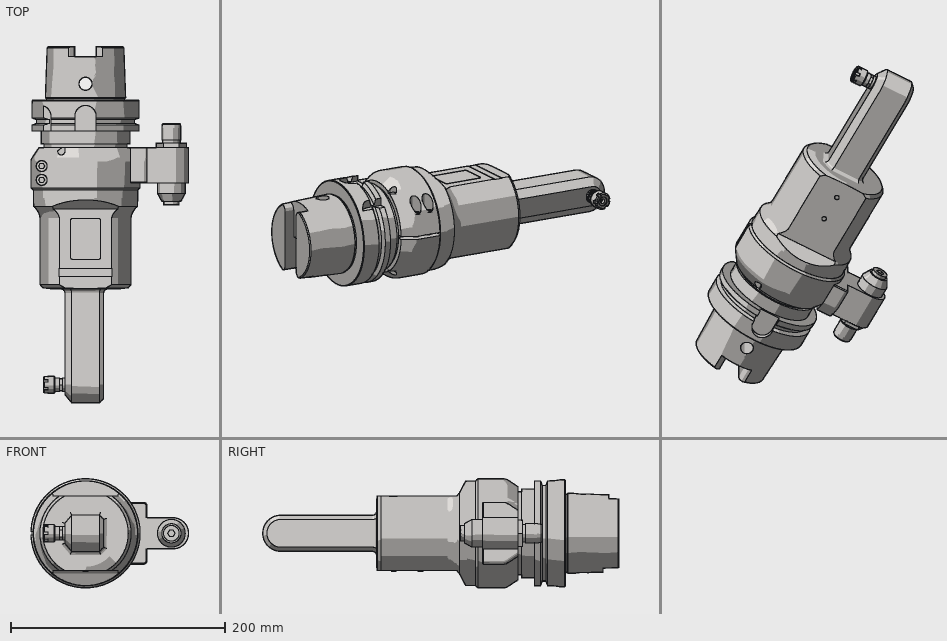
import cadquery as cq
import math


REAR_Y = 50.0
TAPER_REAR_R = 36.0
TAPER_FRONT_R = 37.5
TAPER_FRONT_Y = 2.3
RELIEF_R = 36.5
RELIEF_W = 1.3
REAR_CHAMFER = 1.0
FLANGE_R = 50.02
FLANGE_CHAMFER = 0.5
FLANGE_FRONT_Y = -29.0
GRIP_GROOVE_Y = -20.0
GRIP_GROOVE_MOUTH = 6.5
GRIP_GROOVE_FLOOR = 3.3
GRIP_GROOVE_R = 46.0

CROSS_HOLE_D = 12.0
CROSS_HOLE_Y = 15.3
DRIVE_SLOT_W = 20.0
DRIVE_SLOT_ROUND = 6.0
UPPER_SLOT_DEPTH = 9.3
LOWER_SLOT_DEPTH = 14.5

KEYWAY_W = 20.0
KEYWAY_CENTRE_Y = -15.0
KEYWAY_FLOOR_Z = 44.0
NOTCH_INNER_X = -32.2
NOTCH_FLOOR_Z = 31.2

NECK_R = 41.5
NECK_FRONT_Y = -41.0
SHOULDER_R = 39.0
JOURNAL_R = 37.0
COLLAR_R = 49.0
COLLAR_REAR_Y = -83.8
COLLAR_TAPER_Y = -91.5
COLLAR_FRONT_R = 48.5
COLLAR_FRONT_Y = -99.0
COLLAR_BEVEL_R = 46.5
COLLAR_BEVEL_Y = -101.0
BARREL_R = 42.5
BARREL_REAR_Y = -110.0
BARREL_SWEEP_RISE = 1.15
BARREL_BEVEL_Y = -172.2
END_RIM_R = 40.0
END_RIM_Y = -175.2
END_FACE_R = 31.2
END_FACE_Y = -176.2

FLAT_Z = 35.0
FLAT_START_Y = -101.5
FLAT_WALL_FOOT = (-99.0, 37.5)
FLAT_WALL_TOP = (-93.0, COLLAR_R)
LABEL_W = 28.3
LABEL_L = 38.2
LABEL_REAR_Y = -110.5
LABEL_CORNER_R = 2.0
MARK_DEPTH = 0.3
BAND_REAR_Y = -157.0
BAND_FRONT_Y = -164.5
STUD_D = 4.3
STUD_H = 0.5
STUD_YS = (-135.3, -160.2)

TIP_Y = -282.5
ARM_LEFT_X = -19.3
ARM_RIGHT_X = 17.0
ARM_HALF_Z = 17.0
ARM_LEFT_BEVEL_X = 6.3
ARM_LEFT_BEVEL_Z = 7.5
ARM_RIGHT_BEVEL = 4.0
ARM_ROOT_FILLET = 4.0
SPINDLE_Y = TIP_Y + ARM_HALF_Z

SPINDLE_D = 13.0
NUT_D = 16.0
NUT_TIP_X = -39.2
NUT_BACK_X = -28.3
NUT_CHAMFER = 1.0
HEX_TIP_X = -24.3
HEX_BACK_X = -21.5
NUT_SLOTS = 6
NUT_SLOT_W = 2.5
NUT_SLOT_L = 4.0
NUT_SLOT_DEPTH = 1.5
NUT_RECESS_D = 8.5
NUT_RECESS_DEPTH = 1.0
COLLET_HOLE_D = 4.3
COLLET_HOLE_DEPTH = 5.0

RING_R = 51.02
RING_REAR_R = 43.5
RING_REAR_Y = -44.2
RING_CONE_Y = -55.5
RING_FRONT_Y = COLLAR_REAR_Y
RING_BEVEL = 2.0
RING_CONE_FILLET = 7.0
SPLIT_W = 3.0
BLOCK_INNER_X = 42.0
BLOCK_X = 57.5
BLOCK_HALF_Z = 29.0
BLOCK_ROUND = 3.3
BLOCK_BEVEL = 1.0
BRACKET_FRONT_Y = -77.5
BRACKET_HALF_Z = 14.5
BRACKET_END_X = 96.23
PIN_X = 80.0
PIN_HOLE_D = 18.0
NICK_X = -22.5
NICK_W = 6.5
NICK_END_Y = -51.2
NICK_FLOOR_Z = 37.5

SCREW_X = -41.0
SCREW_YS = (-61.5, -74.5)
SCREW_D = 6.0
SCREW_HEAD_D = 10.0
COUNTERBORE_D = 10.3
SCREW_HEAD_TOP_Z = 21.0
SCREW_SEAT_Z = 15.0
SCREW_TIP_Z = -20.0
SOCKET_FLATS = 5.0
SOCKET_DEPTH = 3.0

PIN_D = PIN_HOLE_D
PIN_REAR_Y = -21.5
PIN_CHAMFER = 1.0
PIN_LEAD_D = 17.3
PIN_LEAD_Y = -26.3
PIN_NECK_D = 16.5
PIN_NECK_Y = -37.2
PIN_HEX_D = 28.5
PIN_HEX_H = 4.0
PIN_CUP_D = 26.0
PIN_CUP_Y = -87.0
PIN_CONE_D = 18.0
PIN_CONE_Y = -94.5
PIN_NOSE_D = 14.5
PIN_NOSE_Y = -97.7
PIN_SOCKET_FLATS = 6.0
PIN_SOCKET_DEPTH = 2.0

FAR = 66.5
PICK_MARGIN = 0.3


def turned(points):
    """Solid of revolution about the Y axis from (radius, y) points."""
    return cq.Workplane("XY").polyline(points).close().revolve(360, (0, 0), (0, 1))


def box(x_range, y_range, z_range):
    """Box between two limits on each axis."""
    (x0, x1), (y0, y1), (z0, z1) = x_range, y_range, z_range
    return cq.Workplane("XY").box(x1 - x0, y1 - y0, z1 - z0, centered=False).translate((x0, y0, z0))


def across_corners(across_flats):
    return across_flats / math.cos(math.radians(30))


def cylinder_z(x, y, diameter, z0, z1):
    return cq.Workplane("XY", origin=(x, y, z0)).circle(diameter / 2).extrude(z1 - z0)


def cylinder_x(diameter, x0, x1):
    """Cylinder on the tool spindle axis."""
    return cq.Workplane("YZ", origin=(x0, SPINDLE_Y, 0)).circle(diameter / 2).extrude(x1 - x0)


def mirrored_z(shape):
    return shape.mirror("XY")


def head_core():
    """Taper, flange, neck, journal, collar and barrel as one turned shape."""
    mouth = GRIP_GROOVE_MOUTH / 2
    floor = GRIP_GROOVE_FLOOR / 2
    sweep_mid = (BARREL_R + BARREL_SWEEP_RISE, (COLLAR_BEVEL_Y + BARREL_REAR_Y) / 2)
    profile = (
        cq.Workplane("XY")
        .moveTo(0, REAR_Y)
        .lineTo(TAPER_REAR_R - REAR_CHAMFER, REAR_Y)
        .lineTo(TAPER_REAR_R, REAR_Y - REAR_CHAMFER)
        .lineTo(TAPER_FRONT_R, TAPER_FRONT_Y)
        .lineTo(RELIEF_R, RELIEF_W)
        .lineTo(RELIEF_R, 0)
        .lineTo(FLANGE_R - FLANGE_CHAMFER, 0)
        .lineTo(FLANGE_R, -FLANGE_CHAMFER)
        .lineTo(FLANGE_R, GRIP_GROOVE_Y + mouth)
        .lineTo(GRIP_GROOVE_R, GRIP_GROOVE_Y + floor)
        .lineTo(GRIP_GROOVE_R, GRIP_GROOVE_Y - floor)
        .lineTo(FLANGE_R, GRIP_GROOVE_Y - mouth)
        .lineTo(FLANGE_R, FLANGE_FRONT_Y)
        .lineTo(NECK_R, FLANGE_FRONT_Y)
        .lineTo(NECK_R, NECK_FRONT_Y)
        .lineTo(SHOULDER_R, NECK_FRONT_Y)
        .lineTo(SHOULDER_R, RING_REAR_Y)
        .lineTo(JOURNAL_R, RING_REAR_Y)
        .lineTo(JOURNAL_R, COLLAR_REAR_Y)
        .lineTo(COLLAR_R, COLLAR_REAR_Y)
        .lineTo(COLLAR_R, COLLAR_TAPER_Y)
        .lineTo(COLLAR_FRONT_R, COLLAR_FRONT_Y)
        .lineTo(COLLAR_BEVEL_R, COLLAR_BEVEL_Y)
        .threePointArc(sweep_mid, (BARREL_R, BARREL_REAR_Y))
        .lineTo(BARREL_R, BARREL_BEVEL_Y)
        .lineTo(END_RIM_R, END_RIM_Y)
        .lineTo(END_FACE_R, END_FACE_Y)
        .lineTo(0, END_FACE_Y)
        .close()
    )
    return profile.revolve(360, (0, 0), (0, 1))


def drive_slot(depth):
    """Cutter for the upper drive slot, with rounded outer edges of its tabs."""
    half = DRIVE_SLOT_W / 2
    edge_x = half + DRIVE_SLOT_ROUND
    edge_z = math.sqrt(TAPER_REAR_R**2 - edge_x**2)
    low_z = edge_z - DRIVE_SLOT_ROUND
    bend = DRIVE_SLOT_ROUND * (1 - math.sqrt(0.5))
    return (
        cq.Workplane("XZ", origin=(0, REAR_Y, 0))
        .moveTo(-half, 0)
        .lineTo(half, 0)
        .lineTo(half, low_z)
        .threePointArc((half + bend, edge_z - bend), (edge_x, edge_z))
        .lineTo(edge_x, TAPER_FRONT_R)
        .lineTo(-edge_x, TAPER_FRONT_R)
        .lineTo(-edge_x, edge_z)
        .threePointArc((-half - bend, edge_z - bend), (-half, low_z))
        .close()
        .extrude(depth)
    )


def round_end_slot(x, floor_z):
    """Upright end-mill cut, round at its rear, open at the flange front face."""
    half = KEYWAY_W / 2
    round_end = cylinder_z(x, KEYWAY_CENTRE_Y, KEYWAY_W, floor_z, FAR)
    straight = box((x - half, x + half), (FLANGE_FRONT_Y, KEYWAY_CENTRE_Y), (floor_z, FAR))
    return round_end.union(straight)


def flat_cut():
    """Cutter for the upper flat of the barrel and the sloping wall behind it."""
    return (
        cq.Workplane("YZ", origin=(-FAR, 0, 0))
        .polyline([
            (END_FACE_Y, FLAT_Z),
            (FLAT_START_Y, FLAT_Z),
            FLAT_WALL_FOOT,
            FLAT_WALL_TOP,
            (FLAT_WALL_TOP[0], FAR),
            (END_FACE_Y, FAR),
        ])
        .close()
        .extrude(2 * FAR)
    )


def flat_markings():
    """Shallow label field and cross band cut into the upper flat."""
    floor_z = FLAT_Z - MARK_DEPTH
    label = (
        cq.Workplane("XY", origin=(0, LABEL_REAR_Y - LABEL_L / 2, floor_z))
        .rect(LABEL_W, LABEL_L)
        .extrude(MARK_DEPTH)
        .edges("|Z")
        .fillet(LABEL_CORNER_R)
    )
    band = box((-FAR, FAR), (BAND_FRONT_Y, BAND_REAR_Y), (floor_z, FLAT_Z))
    return label.union(band)


def arm_half_outline(origin_y):
    """Upper half of the arm section, from the -X side over the top to the +X side."""
    return (
        cq.Workplane("XZ", origin=(0, origin_y, 0))
        .moveTo(ARM_LEFT_X, 0)
        .lineTo(ARM_LEFT_X, ARM_HALF_Z - ARM_LEFT_BEVEL_Z)
        .lineTo(ARM_LEFT_X + ARM_LEFT_BEVEL_X, ARM_HALF_Z)
        .lineTo(ARM_RIGHT_X - ARM_RIGHT_BEVEL, ARM_HALF_Z)
        .lineTo(ARM_RIGHT_X, ARM_HALF_Z - ARM_RIGHT_BEVEL)
        .lineTo(ARM_RIGHT_X, 0)
        .close()
    )


def arm():
    """Bar with beveled edges, the wider bevels at -X, and a half-round tip."""
    upper_half = arm_half_outline(END_FACE_Y).extrude(END_FACE_Y - SPINDLE_Y)
    bar = upper_half.union(mirrored_z(upper_half)).clean()
    tip = arm_half_outline(SPINDLE_Y).revolve(360, (0, 0), (1, 0))
    return bar.union(tip)


def arm_root_edges(head):
    """Edges where the arm leaves the end face of the barrel."""
    corner = (ARM_LEFT_X - PICK_MARGIN, END_FACE_Y - PICK_MARGIN, -ARM_HALF_Z - PICK_MARGIN)
    opposite = (ARM_RIGHT_X + PICK_MARGIN, END_FACE_Y + PICK_MARGIN, ARM_HALF_Z + PICK_MARGIN)
    return head.edges(cq.selectors.BoxSelector(corner, opposite))


def tool_spindle():
    """Collet nut, neck and wrench hexagon on the side of the arm tip."""
    nut = cylinder_x(NUT_D, NUT_TIP_X, NUT_BACK_X).faces("<X or >X").chamfer(NUT_CHAMFER)
    neck = cylinder_x(SPINDLE_D, NUT_BACK_X, HEX_TIP_X)
    hexagon = (
        cq.Workplane("YZ", origin=(HEX_TIP_X, SPINDLE_Y, 0))
        .transformed(rotate=(0, 0, 90))
        .polygon(6, SPINDLE_D)
        .extrude(HEX_BACK_X - HEX_TIP_X)
    )
    base = cylinder_x(SPINDLE_D, HEX_BACK_X, 0)

    slot_floor = NUT_D / 2 - NUT_SLOT_DEPTH
    slot = box(
        (NUT_TIP_X, NUT_TIP_X + NUT_SLOT_L),
        (SPINDLE_Y + slot_floor, SPINDLE_Y + NUT_D),
        (-NUT_SLOT_W / 2, NUT_SLOT_W / 2),
    )
    for i in range(NUT_SLOTS):
        angle = i * 360 / NUT_SLOTS
        nut = nut.cut(slot.rotate((0, SPINDLE_Y, 0), (1, SPINDLE_Y, 0), angle))
    nut = nut.cut(cylinder_x(NUT_RECESS_D, NUT_TIP_X, NUT_TIP_X + NUT_RECESS_DEPTH))
    nut = nut.cut(cylinder_x(COLLET_HOLE_D, NUT_TIP_X, NUT_TIP_X + COLLET_HOLE_DEPTH))
    return nut.union(neck).union(hexagon).union(base)


def make_head():
    head = head_core()
    head = head.cut(cylinder_z(0, CROSS_HOLE_Y, CROSS_HOLE_D, -FAR, FAR))
    head = head.cut(drive_slot(UPPER_SLOT_DEPTH))
    head = head.cut(mirrored_z(drive_slot(LOWER_SLOT_DEPTH)))

    keyway = round_end_slot(0, KEYWAY_FLOOR_Z)
    head = head.cut(keyway).cut(mirrored_z(keyway))
    head = head.cut(round_end_slot(NOTCH_INNER_X - KEYWAY_W / 2, NOTCH_FLOOR_Z))

    head = head.cut(flat_cut()).cut(mirrored_z(flat_cut()))
    head = head.cut(flat_markings())
    for y in STUD_YS:
        head = head.union(cylinder_z(0, y, STUD_D, -FLAT_Z - STUD_H, 0))

    head = arm_root_edges(head.union(arm())).fillet(ARM_ROOT_FILLET)
    return head.union(tool_spindle())


def cone_edges():
    """Selector for the edges at the front end of the cone."""
    corner = (-FAR, RING_CONE_Y - PICK_MARGIN, -FAR)
    opposite = (FAR, RING_CONE_Y + PICK_MARGIN, FAR)
    return cq.selectors.BoxSelector(corner, opposite)


def ring_blank():
    """Turned ring with a conical rear, solid across its bore."""
    blank = turned([
        (0, RING_REAR_Y),
        (RING_REAR_R, RING_REAR_Y),
        (RING_R, RING_CONE_Y),
        (RING_R, RING_FRONT_Y + RING_BEVEL),
        (RING_R - RING_BEVEL, RING_FRONT_Y),
        (0, RING_FRONT_Y),
    ])
    return blank.edges(cone_edges()).fillet(RING_CONE_FILLET)


def bracket_block():
    """Block on the +X side whose rear slopes like the cone of the ring."""
    rear_half_z = BLOCK_HALF_Z - (RING_R - RING_REAR_R)
    slope_ends = [
        (BRACKET_FRONT_Y, BLOCK_HALF_Z),
        (RING_CONE_Y, BLOCK_HALF_Z),
        (RING_REAR_Y, rear_half_z),
        (RING_REAR_Y, -rear_half_z),
        (RING_CONE_Y, -BLOCK_HALF_Z),
        (BRACKET_FRONT_Y, -BLOCK_HALF_Z),
    ]
    block = (
        cq.Workplane("YZ", origin=(BLOCK_INNER_X, 0, 0))
        .polyline(slope_ends)
        .close()
        .extrude(BLOCK_X - BLOCK_INNER_X)
    )
    block = block.edges(cone_edges()).fillet(RING_CONE_FILLET)
    block = block.faces("<Z or >Z").edges(">X").fillet(BLOCK_ROUND)
    return block.faces("<Y").edges("not <X").chamfer(BLOCK_BEVEL)


def bracket():
    """Block on the +X side of the ring and the round-ended arm that holds the pin."""
    thickness = RING_REAR_Y - BRACKET_FRONT_Y
    round_x = BRACKET_END_X - BRACKET_HALF_Z
    lug = (
        cq.Workplane("XZ", origin=(0, RING_REAR_Y, 0))
        .moveTo(0, -BRACKET_HALF_Z)
        .lineTo(round_x, -BRACKET_HALF_Z)
        .threePointArc((BRACKET_END_X, 0), (round_x, BRACKET_HALF_Z))
        .lineTo(0, BRACKET_HALF_Z)
        .close()
        .extrude(thickness)
    )
    pin_hole = cq.Workplane("XZ", origin=(PIN_X, RING_REAR_Y, 0)).circle(PIN_HOLE_D / 2).extrude(thickness)
    return bracket_block().union(lug).cut(pin_hole)


def nick():
    """Small round-ended nick in the cone of the ring."""
    half = NICK_W / 2
    end_y = NICK_END_Y + half
    straight = box((NICK_X - half, NICK_X + half), (end_y, RING_REAR_Y), (NICK_FLOOR_Z, FAR))
    return straight.union(cylinder_z(NICK_X, end_y, NICK_W, NICK_FLOOR_Z, FAR))


def screw_hole(y):
    counterbore = cylinder_z(SCREW_X, y, COUNTERBORE_D, SCREW_SEAT_Z, FAR)
    return counterbore.union(cylinder_z(SCREW_X, y, SCREW_D, SCREW_TIP_Z, SCREW_SEAT_Z))


def make_ring():
    ring = ring_blank().union(bracket())
    bore = [(0, RING_REAR_Y), (JOURNAL_R, RING_REAR_Y), (JOURNAL_R, RING_FRONT_Y), (0, RING_FRONT_Y)]
    ring = ring.cut(turned(bore))
    split = box((-FAR, 0), (RING_FRONT_Y, RING_REAR_Y), (-SPLIT_W / 2, SPLIT_W / 2))
    ring = ring.cut(split)
    for y in SCREW_YS:
        ring = ring.cut(screw_hole(y))
    return ring.cut(nick()).cut(mirrored_z(nick()))


def make_screw(y):
    """Socket head cap screw that closes the split of the ring."""
    head = cylinder_z(SCREW_X, y, SCREW_HEAD_D, SCREW_SEAT_Z, SCREW_HEAD_TOP_Z)
    shank = cylinder_z(SCREW_X, y, SCREW_D, SCREW_TIP_Z, SCREW_SEAT_Z)
    socket = (
        cq.Workplane("XY", origin=(SCREW_X, y, SCREW_HEAD_TOP_Z - SOCKET_DEPTH))
        .polygon(6, across_corners(SOCKET_FLATS))
        .extrude(SOCKET_DEPTH)
    )
    return head.union(shank).cut(socket)


def make_pin():
    """Pin with a hexagon behind the bracket and a conical cup in front of it."""
    body = turned([
        (0, PIN_REAR_Y),
        (PIN_LEAD_D / 2 - PIN_CHAMFER, PIN_REAR_Y),
        (PIN_LEAD_D / 2, PIN_REAR_Y - PIN_CHAMFER),
        (PIN_D / 2, PIN_LEAD_Y),
        (PIN_D / 2, PIN_NECK_Y),
        (PIN_NECK_D / 2, PIN_NECK_Y),
        (PIN_NECK_D / 2, RING_REAR_Y),
        (PIN_D / 2, RING_REAR_Y),
        (PIN_D / 2, BRACKET_FRONT_Y),
        (PIN_CUP_D / 2, BRACKET_FRONT_Y),
        (PIN_CUP_D / 2, PIN_CUP_Y),
        (PIN_CONE_D / 2, PIN_CONE_Y),
        (PIN_NOSE_D / 2, PIN_CONE_Y),
        (PIN_NOSE_D / 2, PIN_NOSE_Y),
        (0, PIN_NOSE_Y),
    ])
    hexagon = cq.Workplane("XZ", origin=(0, RING_REAR_Y + PIN_HEX_H, 0)).polygon(6, PIN_HEX_D).extrude(PIN_HEX_H)
    socket = (
        cq.Workplane("XZ", origin=(0, PIN_NOSE_Y + PIN_SOCKET_DEPTH, 0))
        .polygon(6, across_corners(PIN_SOCKET_FLATS))
        .extrude(PIN_SOCKET_DEPTH)
    )
    return body.union(hexagon).cut(socket).translate((PIN_X, 0, 0))


head = make_head()
clamp_ring = make_ring()
screws = [make_screw(y) for y in SCREW_YS]
locating_pin = make_pin()

result = cq.Compound.makeCompound([
    head.val(),
    clamp_ring.val(),
    *[screw.val() for screw in screws],
    locating_pin.val(),
])